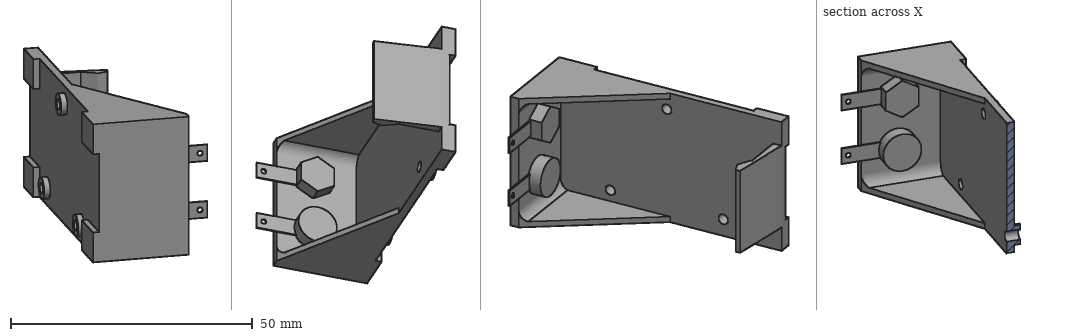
import cadquery as cq
import math


length = 54.6
width = 30.0
depth = 25.05

foot_height = 1.3
floor_y = 3.05
clip_end_foot_length = 7.65
wedge_end_foot_length = 9.0
foot_width = 6.5

boss_diameter = 4.6
screw_hole_diameter = 2.25
screw_edge_distance = 3.9
screw_spacing = 13.45

wedge_start_x = 26.55
wall_top_y = 20.6
end_wall_thickness = 2.0
side_wall_thickness = 1.3
corner_width = 2.5
corner_depth = 1.65
end_wall_x = length - end_wall_thickness

clip_width = 19.05
clip_root_thickness = 1.95
clip_top_x = 1.8
clip_top_y = 17.3
clip_shoulder_x = 2.95
clip_nose_x = 3.7
clip_nose_y = 15.0
clip_neck_y = 11.7
clip_top_radius = 0.65
clip_nose_radius = 0.45

contact_spacing = 12.3
tab_width = 3.55
tab_thickness = 0.35
tab_hole_diameter = 1.1
tab_hole_end_distance = 1.55
snap_y = 12.6
snap_diameter = 8.4
snap_height = 3.0


def box(x_range, y_range, z_range):
    """Box between the given pairs of X, Y and Z limits."""
    size_x = x_range[1] - x_range[0]
    size_y = y_range[1] - y_range[0]
    size_z = z_range[1] - z_range[0]
    corner = (x_range[0], y_range[0], z_range[0])
    return cq.Workplane("XY").box(size_x, size_y, size_z, centered=False).translate(corner)


def rear_cylinder(x, z, diameter, end_y):
    """Cylinder along Y from the rear face to end_y."""
    rear_plane = cq.Plane(origin=(x, 0, z), xDir=(1, 0, 0), normal=(0, 1, 0))
    return cq.Workplane(rear_plane).circle(diameter / 2).extrude(end_y)


def make_base():
    """Floor plate with a foot at each corner."""
    half_width = width / 2
    base = box((0, length), (foot_height, floor_y), (-half_width, half_width))
    foot_x_ranges = [(0, clip_end_foot_length), (length - wedge_end_foot_length, length)]
    foot_z_ranges = [(-half_width, foot_width - half_width), (half_width - foot_width, half_width)]
    for x_range in foot_x_ranges:
        for z_range in foot_z_ranges:
            base = base.union(box(x_range, (0, foot_height), z_range))
    return base


def make_wedge():
    """Sloping side walls joined by the end wall, with rounded inner corners."""
    wedge = (
        cq.Workplane("XY")
        .moveTo(wedge_start_x, floor_y)
        .lineTo(end_wall_x, wall_top_y)
        .lineTo(length, wall_top_y)
        .lineTo(length, floor_y)
        .close()
        .extrude(width / 2, both=True)
    )
    inner_half_width = width / 2 - side_wall_thickness
    flat_half_width = inner_half_width - corner_width
    corner_x = end_wall_x - corner_depth
    floor_plane = cq.Plane(origin=(0, floor_y, 0), xDir=(0, 0, 1), normal=(0, 1, 0))
    bay = (
        cq.Workplane(floor_plane)
        .moveTo(inner_half_width, corner_x)
        .lineTo(inner_half_width, wedge_start_x)
        .lineTo(-inner_half_width, wedge_start_x)
        .lineTo(-inner_half_width, corner_x)
    )
    arc_radius = (corner_width**2 + corner_depth**2) / (2 * corner_depth)
    half_angle = math.asin(corner_width / arc_radius) / 2
    mid_width = flat_half_width + arc_radius * math.sin(half_angle)
    mid_x = end_wall_x - arc_radius * (1 - math.cos(half_angle))
    bay = (
        bay.threePointArc((-mid_width, mid_x), (-flat_half_width, end_wall_x))
        .lineTo(flat_half_width, end_wall_x)
        .threePointArc((mid_width, mid_x), (inner_half_width, corner_x))
        .close()
        .extrude(wall_top_y - floor_y)
    )
    return wedge.cut(bay)


def make_clip():
    """Tapered spring clip with a rounded catch at its tip."""
    clip = (
        cq.Workplane("XY")
        .moveTo(0, floor_y)
        .lineTo(clip_top_x, clip_top_y)
        .lineTo(clip_shoulder_x, clip_top_y)
        .lineTo(clip_nose_x, clip_nose_y)
        .lineTo(clip_root_thickness, clip_neck_y)
        .lineTo(clip_root_thickness, floor_y)
        .close()
        .extrude(clip_width / 2, both=True)
    )
    shoulder = cq.selectors.NearestToPointSelector((clip_shoulder_x, clip_top_y, 0))
    nose = cq.selectors.NearestToPointSelector((clip_nose_x, clip_nose_y, 0))
    clip = clip.edges("|Z").edges(shoulder).fillet(clip_top_radius)
    return clip.edges("|Z").edges(nose).fillet(clip_nose_radius)


def make_housing():
    """Base, wedge and clip in one piece, with three drilled screw bosses."""
    housing = make_base().union(make_wedge()).union(make_clip())
    screw_z = width / 2 - screw_edge_distance
    screw_points = [
        (length / 2, screw_z),
        (length / 2 - screw_spacing, -screw_z),
        (length / 2 + screw_spacing, -screw_z),
    ]
    for x, z in screw_points:
        housing = housing.union(rear_cylinder(x, z, boss_diameter, foot_height))
        housing = housing.cut(rear_cylinder(x, z, screw_hole_diameter, floor_y))
    return housing


def make_contact(z, hexagonal):
    """Solder tab lying on the end wall, with a round or hexagonal snap at its inner end."""
    tab_z_range = (z - tab_width / 2, z + tab_width / 2)
    tab = box((end_wall_x - tab_thickness, end_wall_x), (snap_y, depth), tab_z_range)
    hole_center = (end_wall_x, depth - tab_hole_end_distance, z)
    hole_plane = cq.Plane(origin=hole_center, xDir=(0, 0, 1), normal=(-1, 0, 0))
    tab = tab.cut(cq.Workplane(hole_plane).circle(tab_hole_diameter / 2).extrude(tab_thickness))

    snap_plane = cq.Plane(origin=(end_wall_x, snap_y, z), xDir=(0, 0, 1), normal=(-1, 0, 0))
    if hexagonal:
        snap = cq.Workplane(snap_plane).polygon(6, snap_diameter).extrude(snap_height)
    else:
        snap = cq.Workplane(snap_plane).circle(snap_diameter / 2).extrude(snap_height)
    return tab.union(snap)


housing = make_housing()
contacts = []
for side in (-1, 1):
    contacts.append(make_contact(side * contact_spacing / 2, hexagonal=side > 0))

result = cq.Compound.makeCompound([housing.val(), *[contact.val() for contact in contacts]])